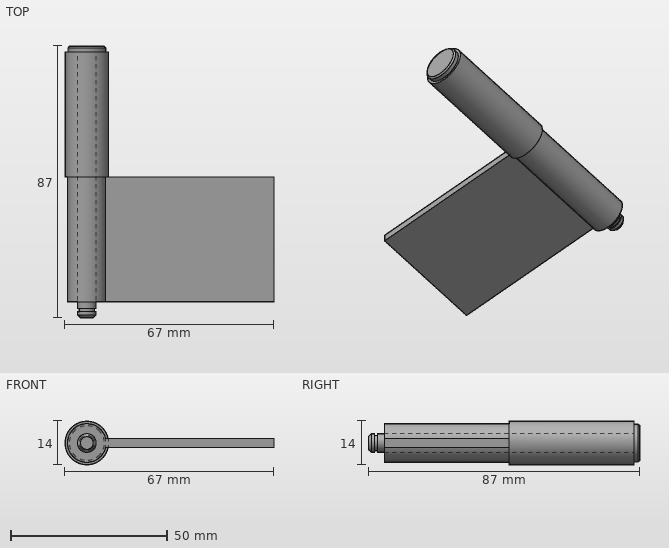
import cadquery as cq


total_length = 87.0
barrel_length = 40.0
sleeve_diameter = 14.0
knuckle_diameter = 12.4
total_width = 67.0
leaf_thickness = 3.0

pin_diameter = 6.0
head_diameter = 12.2
head_height = 1.8
head_chamfer = 0.5

groove_offset = 2.2
groove_width = 1.0
groove_depth = 0.5
tip_chamfer = 1.0

leaf_edge_x = total_width - sleeve_diameter / 2
head_top_y = barrel_length + head_height
pin_tip_y = head_top_y - total_length
groove_start_y = -barrel_length - groove_offset
groove_end_y = groove_start_y - groove_width


def cylinder(diameter, start_y, end_y):
    """Solid cylinder on the hinge axis, from start_y up to end_y."""
    base = cq.Workplane("XZ", origin=(0, start_y, 0))
    return base.circle(diameter / 2).extrude(start_y - end_y)


def make_leaf():
    """Flat leaf and its knuckle in one piece, bored for the pin."""
    knuckle = cylinder(knuckle_diameter, -barrel_length, 0)
    plate = cq.Workplane("XY").box(
        leaf_edge_x, barrel_length, leaf_thickness, centered=(False, False, True)
    ).translate((0, -barrel_length, 0))
    bore = cylinder(pin_diameter, -barrel_length, 0)
    return knuckle.union(plate).cut(bore)


def make_sleeve():
    """Plain upper barrel, bored for the pin."""
    barrel = cylinder(sleeve_diameter, 0, barrel_length)
    bore = cylinder(pin_diameter, 0, barrel_length)
    return barrel.cut(bore)


def make_pin():
    """Headed pin with a chamfered tip and a retaining-ring groove."""
    shank = cylinder(pin_diameter, pin_tip_y, barrel_length)
    shank = shank.faces("<Y").chamfer(tip_chamfer)
    head = cylinder(head_diameter, barrel_length, head_top_y)
    head = head.faces(">Y").chamfer(head_chamfer)
    groove_core = cylinder(pin_diameter - 2 * groove_depth, groove_end_y, groove_start_y)
    groove = cylinder(pin_diameter, groove_end_y, groove_start_y).cut(groove_core)
    return shank.union(head).cut(groove)


leaf = make_leaf()
sleeve = make_sleeve()
pin = make_pin()

result = cq.Compound.makeCompound([leaf.val(), sleeve.val(), pin.val()])